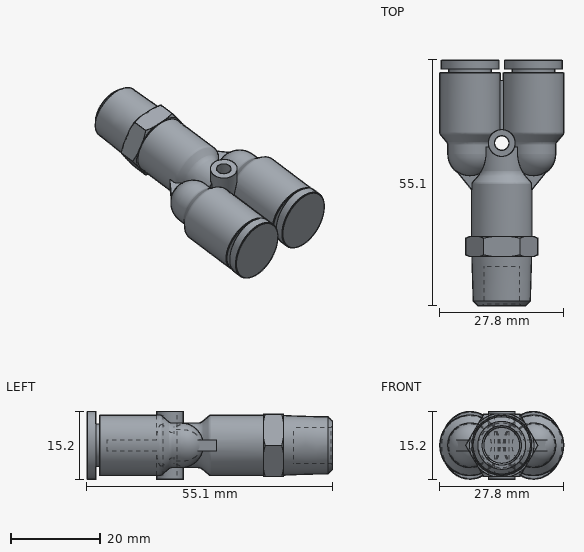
import cadquery as cq
import math


total_length = 55.1
total_height = 15.2
barrel_dia = 13.6
neck_dia = 10.05
arm_spacing = 14.2
rib_thickness = 2.5

thread_base_dia = 13.45
thread_tip_dia = 12.85
thread_chamfer = 1.05
bore_dia = 8.05
bore_depth = 8.8
bore_chamfer = 0.4
hex_start = 11.0
hex_length = 4.5
hex_across_flats = 14.0
hex_face_dia = 14.45
hex_chamfer_angle = 25.0

shoulder_length = 2.1
stem_shoulder_start = 27.5
stem_neck_end = 35.6
stem_inner_fillet = 1.65
shoulder_fillet = 0.8

arm_dome_center = 34.0
arm_shoulder_start = 36.4
barrel_end_chamfer = 0.15
collar_width = 13.0
collar_thickness = 2.05
collar_chamfer = 0.15
collar_gap = 0.75
collar_neck_dia = 9.6

boss_y = 36.5
boss_dia = 6.0
boss_hole_dia = 3.2
gusset_outer = (10.6, 30.75)
gusset_inner = (6.8, 26.0)
web_end = 50.5

barrel_radius = barrel_dia / 2
neck_radius = neck_dia / 2
arm_x = arm_spacing / 2
barrel_end = total_length - collar_thickness - collar_gap


def plane_facing_y(y):
    """Workplane on the Y axis whose normal points along +Y."""
    return cq.Workplane(cq.Plane(origin=(0, y, 0), xDir=(1, 0, 0), normal=(0, 1, 0)))


def revolve_y(profile):
    """Revolve a closed half profile in the XY plane about the Y axis."""
    return profile.close().revolve(360, (0, 0, 0), (0, 1, 0))


def fillet_circle(body, y, radius):
    """Fillet the circular edge lying at one Y position."""
    margin = 0.005
    box = cq.selectors.BoxSelector(
        (-barrel_dia, y - margin, -barrel_dia),
        (barrel_dia, y + margin, barrel_dia),
        boundingbox=True,
    )
    return body.edges(box).fillet(radius)


def make_stem():
    shoulder_end = stem_shoulder_start + shoulder_length
    body = revolve_y(
        cq.Workplane("XY")
        .moveTo(0, hex_start)
        .lineTo(barrel_radius, hex_start)
        .lineTo(barrel_radius, stem_shoulder_start)
        .lineTo(neck_radius, shoulder_end)
        .lineTo(neck_radius, stem_neck_end)
        .lineTo(0, stem_neck_end)
    )
    body = fillet_circle(body, stem_shoulder_start, shoulder_fillet)
    return fillet_circle(body, shoulder_end, stem_inner_fillet)


def make_thread():
    tip_radius = thread_tip_dia / 2
    return revolve_y(
        cq.Workplane("XY")
        .lineTo(tip_radius - thread_chamfer, 0)
        .lineTo(tip_radius, thread_chamfer)
        .lineTo(thread_base_dia / 2, hex_start)
        .lineTo(0, hex_start)
    )


def make_bore():
    radius = bore_dia / 2
    return revolve_y(
        cq.Workplane("XY")
        .lineTo(radius + bore_chamfer, 0)
        .lineTo(radius, bore_chamfer)
        .lineTo(radius, bore_depth)
        .lineTo(0, bore_depth)
    )


def make_hex():
    corner_radius = hex_across_flats / math.sqrt(3)
    face_radius = hex_face_dia / 2
    chamfer_height = (corner_radius - face_radius) * math.tan(math.radians(hex_chamfer_angle))
    hex_end = hex_start + hex_length
    prism = plane_facing_y(hex_start).polygon(6, 2 * corner_radius).extrude(hex_length)
    envelope = revolve_y(
        cq.Workplane("XY")
        .moveTo(0, hex_start)
        .lineTo(face_radius, hex_start)
        .lineTo(corner_radius, hex_start + chamfer_height)
        .lineTo(corner_radius, hex_end - chamfer_height)
        .lineTo(face_radius, hex_end)
        .lineTo(0, hex_end)
    )
    return prism.intersect(envelope)


def make_collar():
    collar = (
        plane_facing_y(total_length - collar_thickness)
        .ellipse(collar_width / 2, total_height / 2)
        .extrude(collar_thickness)
    )
    return collar.faces(">Y").chamfer(collar_chamfer)


def make_arm():
    """Arm on the Y axis: domed root, shoulder, barrel and oval release collar."""
    shoulder_end = arm_shoulder_start + shoulder_length
    dome_mid = neck_radius * math.sqrt(0.5)
    body = revolve_y(
        cq.Workplane("XY")
        .moveTo(0, arm_dome_center - neck_radius)
        .threePointArc((dome_mid, arm_dome_center - dome_mid), (neck_radius, arm_dome_center))
        .lineTo(neck_radius, arm_shoulder_start)
        .lineTo(barrel_radius, shoulder_end)
        .lineTo(barrel_radius, barrel_end - barrel_end_chamfer)
        .lineTo(barrel_radius - barrel_end_chamfer, barrel_end)
        .lineTo(0, barrel_end)
    )
    body = fillet_circle(body, arm_shoulder_start, shoulder_fillet)
    body = fillet_circle(body, shoulder_end, shoulder_fillet)
    collar_neck = plane_facing_y(barrel_end).circle(collar_neck_dia / 2).extrude(collar_gap)
    return body.union(collar_neck).union(make_collar())


def make_gussets():
    """Flat plate whose slanted edges brace both domes against the stem barrel."""
    outer_x, outer_y = gusset_outer
    inner_x, inner_y = gusset_inner
    outline = [
        (-inner_x, inner_y),
        (inner_x, inner_y),
        (outer_x, outer_y),
        (arm_x, arm_dome_center),
        (-arm_x, arm_dome_center),
        (-outer_x, outer_y),
    ]
    return cq.Workplane("XY").polyline(outline).close().extrude(rib_thickness / 2, both=True)


def make_web():
    """Flat web closing the narrow gap between the two arm barrels."""
    length = web_end - boss_y
    web = cq.Workplane("XY").box(arm_x, length, rib_thickness)
    return web.translate((0, boss_y + length / 2, 0))


def round_z(diameter):
    """Full-height cylinder along Z at the hanging boss."""
    return cq.Workplane("XY").center(0, boss_y).circle(diameter / 2).extrude(total_height / 2, both=True)


arm = make_arm()
result = make_stem().union(make_thread()).union(make_hex())
for side in (-1, 1):
    result = result.union(arm.translate((side * arm_x, 0, 0)))
result = result.union(make_gussets()).union(make_web()).union(round_z(boss_dia))
result = result.cut(round_z(boss_hole_dia)).cut(make_bore())